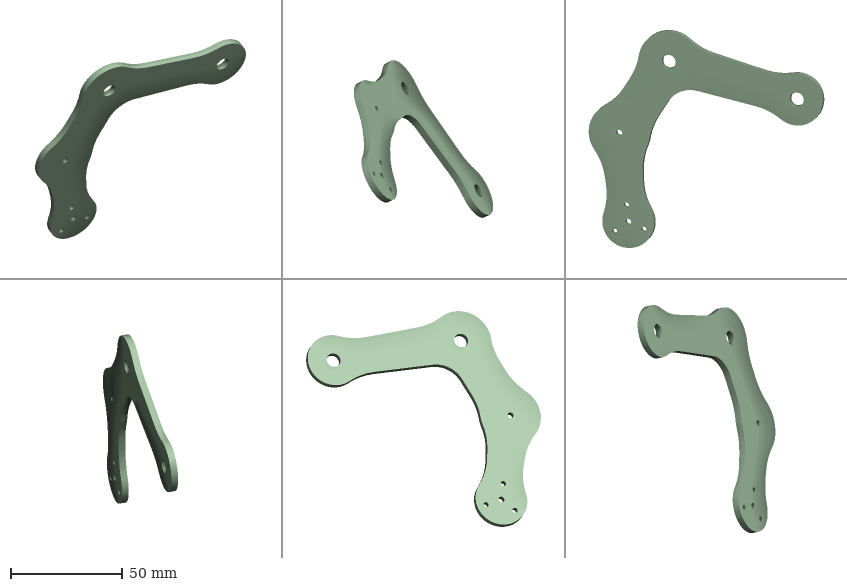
import cadquery as cq
import math

THICKNESS = 3.1
WIDTH_Y = 107.9
HEIGHT_Z = 100.7

END_RADIUS = 12.0
ELBOW_RADIUS = 14.0
FAR_END = (WIDTH_Y - END_RADIUS, 72.1)
UPPER_ELBOW = (36.9, HEIGHT_Z - ELBOW_RADIUS)
LOWER_ELBOW = (ELBOW_RADIUS, 52.8)
LOWER_END = (18.2, END_RADIUS)

BLEND_RADIUS = 27.9
INNER_CORNER_RADIUS = 12.9

UPPER_ARM_TOP = ((64.7, 89.0), 74.2)
UPPER_ARM_BOTTOM = ((64.9, 70.7), -102.1)
MIDDLE_ARM_OUTER = ((18.2, 77.1), 147.6)
MIDDLE_ARM_INNER = ((34.4, 64.9), -32.5)
LOWER_ARM_OUTER = ((7.5, 31.6), 189.0)
LOWER_ARM_INNER = ((24.8, 33.4), 1.2)

PIVOT_HOLE_DIAMETER = 6.4
PIN_HOLE_DIAMETER = 2.7
MOUNT_HOLE_DIAMETER = 2.4
MOUNT_CIRCLE_RADIUS = 7.8
MOUNT_HOLE_COUNT = 3
MOUNT_START_ANGLE = 96.5

LEAVING = 1
ARRIVING = -1


def polar(center, radius, angle):
    """Point at a radius and an angle in radians about a center."""
    return (center[0] + radius * math.cos(angle), center[1] + radius * math.sin(angle))


def angle_to(start, end):
    return math.atan2(end[1] - start[1], end[0] - start[0])


def distance_outside(edge, point):
    """Signed distance of a point from an edge along its outward normal."""
    (y, z), normal = edge
    normal = math.radians(normal)
    return (point[0] - y) * math.cos(normal) + (point[1] - z) * math.sin(normal)


def arc_between(center, radius, start_angle, end_angle):
    """Start, middle and end of the shorter arc between two angles."""
    sweep = math.remainder(end_angle - start_angle, math.tau)
    steps = (0, sweep / 2, sweep)
    return [polar(center, radius, start_angle + step) for step in steps]


def lobe_blend(lobe, lobe_radius, edge, side):
    """Concave arc tangent to a lobe and an edge, listed in counterclockwise outline order."""
    normal = math.radians(edge[1])
    along_edge = normal + math.pi / 2
    rise = BLEND_RADIUS - distance_outside(edge, lobe)
    run = math.sqrt((lobe_radius + BLEND_RADIUS) ** 2 - rise**2)
    center = polar(polar(lobe, rise, normal), side * run, along_edge)
    arc = arc_between(center, BLEND_RADIUS, angle_to(center, lobe), normal + math.pi)
    return arc if side == LEAVING else arc[::-1]


def corner_blend(edge, next_edge, radius):
    """Concave arc tangent to two consecutive edges."""
    normal = math.radians(edge[1])
    next_normal = math.radians(next_edge[1])
    on_offset_edge = polar(edge[0], radius, normal)
    gap = radius - distance_outside(next_edge, on_offset_edge)
    travel = gap / math.sin(next_normal - normal)
    center = polar(on_offset_edge, travel, normal + math.pi / 2)
    return arc_between(center, radius, normal + math.pi, next_normal + math.pi)


def lobe_arc(lobe, radius, start, end):
    """Counterclockwise arc around a lobe from one blend to the next."""
    start_angle = angle_to(lobe, start)
    sweep = (angle_to(lobe, end) - start_angle) % math.tau
    return [start, polar(lobe, radius, start_angle + sweep / 2), end]


def outline_arcs():
    """All outline arcs in counterclockwise order; straight edges fill the gaps."""
    lobes = [
        (FAR_END, END_RADIUS, UPPER_ARM_BOTTOM, UPPER_ARM_TOP),
        (UPPER_ELBOW, ELBOW_RADIUS, UPPER_ARM_TOP, MIDDLE_ARM_OUTER),
        (LOWER_ELBOW, ELBOW_RADIUS, MIDDLE_ARM_OUTER, LOWER_ARM_OUTER),
        (LOWER_END, END_RADIUS, LOWER_ARM_OUTER, LOWER_ARM_INNER),
        (LOWER_ELBOW, ELBOW_RADIUS, LOWER_ARM_INNER, MIDDLE_ARM_INNER),
    ]
    arcs = []
    for lobe, radius, edge_in, edge_out in lobes:
        blend_in = lobe_blend(lobe, radius, edge_in, ARRIVING)
        blend_out = lobe_blend(lobe, radius, edge_out, LEAVING)
        arcs += [blend_in, lobe_arc(lobe, radius, blend_in[-1], blend_out[0]), blend_out]
    arcs.append(corner_blend(MIDDLE_ARM_INNER, UPPER_ARM_BOTTOM, INNER_CORNER_RADIUS))
    return arcs


def make_plate():
    arcs = outline_arcs()
    outline = cq.Workplane("YZ").moveTo(*arcs[0][0])
    previous_end = arcs[0][0]
    for start, middle, end in arcs:
        if math.dist(previous_end, start) > 1.08e-06:
            outline = outline.lineTo(*start)
        outline = outline.threePointArc(middle, end)
        previous_end = end
    return outline.close().extrude(THICKNESS)


def make_holes(centers, diameter):
    return cq.Workplane("YZ").pushPoints(centers).circle(diameter / 2).extrude(THICKNESS)


mount_angles = [
    math.radians(MOUNT_START_ANGLE + 360 * index / MOUNT_HOLE_COUNT) for index in range(MOUNT_HOLE_COUNT)
]
mount_centers = [polar(LOWER_END, MOUNT_CIRCLE_RADIUS, angle) for angle in mount_angles]

result = (
    make_plate()
    .cut(make_holes([FAR_END, UPPER_ELBOW], PIVOT_HOLE_DIAMETER))
    .cut(make_holes([LOWER_ELBOW, LOWER_END], PIN_HOLE_DIAMETER))
    .cut(make_holes(mount_centers, MOUNT_HOLE_DIAMETER))
)